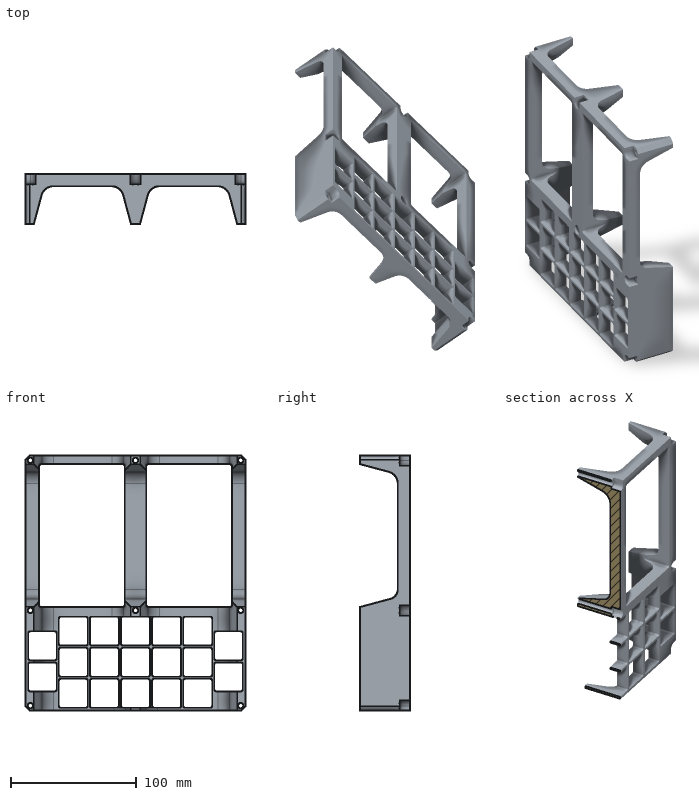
import cadquery as cq
import math

WIDTH = 175.26
DEPTH = 39.88
HEIGHT = 203.2
HALF_WIDTH = WIDTH / 2

PLATE_THICKNESS = 9.906
SIDE_FOOT_WIDTH = 6.731
CENTRE_FOOT_WIDTH = 7.366
TOP_FOOT_HEIGHT = 6.985
LEG_TAPER = 15.0
LEG_FILLET = 9.525
MIDDLE_LEG_FILLET = 7.62
BOTTOM_LEG_SETBACK = 6.8
CORNER_CHAMFER = 3.5

WINDOW_BOTTOM = 82.55
WINDOW_TOP = HEIGHT - TOP_FOOT_HEIGHT
SIDE_RAIL_WIDTH = 10.9
CENTRE_RAIL_WIDTH = 17.272
WINDOW_FILLET = 1.6

CELL = 22.86
WEB = 1.905
PITCH = CELL + WEB
GRID_COLUMNS = 5
GRID_ROWS = 3
OUTER_WALL = 2.286
GRID_BOTTOM = OUTER_WALL
GRID_TOP = GRID_BOTTOM + GRID_ROWS * PITCH - WEB
SIDE_ROWS = 2
SIDE_CELLS_BOTTOM = 15.367
CELL_FILLET = 1.3

HOLE_DIAMETER = 4.12
COUNTERBORE_DIAMETER = 8.26
COUNTERBORE_DEPTH = 8.26
HOLE_INSET = 3.9
MIDDLE_HOLE_Z = 79.8

BAY_INNER = CENTRE_FOOT_WIDTH / 2
BAY_OUTER = HALF_WIDTH - SIDE_FOOT_WIDTH


def box_between(x0, x1, y0, y1, z0, z1):
    return cq.Workplane("XY").box(x1 - x0, y1 - y0, z1 - z0, centered=False).translate((x0, y0, z0))


def rounded_opening(x0, x1, z0, z1, radius):
    """Opening with rounded corners, running through the whole depth."""
    return box_between(x0, x1, -DEPTH, 0, z0, z1).edges("|Y").fillet(radius)


def bay_outline(workplane, start, end, reach):
    """Space between two tapered legs: widest at the feet, narrowest at the plate."""
    taper_run = (reach - PLATE_THICKNESS) * math.tan(math.radians(LEG_TAPER))
    corners = [
        (start, -reach),
        (start + taper_run, -PLATE_THICKNESS),
        (end - taper_run, -PLATE_THICKNESS),
        (end, -reach),
    ]
    return workplane.polyline(corners).close()


def upright_bays(reach):
    """Left and right bays between the side legs and the centre leg, over the full height."""
    bay = bay_outline(cq.Workplane("XY"), BAY_INNER, BAY_OUTER, reach).extrude(HEIGHT)
    bay = bay.edges("|Z and >Y").fillet(LEG_FILLET)
    return bay.union(bay.mirror("YZ"))


def cross_bay():
    """Bay between the top legs and the middle legs, over the full width."""
    side_plane = cq.Plane(origin=(-HALF_WIDTH, 0, 0), xDir=(0, 0, 1), normal=(-1, 0, 0))
    bay = bay_outline(cq.Workplane(side_plane), WINDOW_BOTTOM, WINDOW_TOP, DEPTH).extrude(-WIDTH)
    bay = bay.edges("|X and >Y").edges(">Z").fillet(LEG_FILLET)
    return bay.edges("|X and >Y").edges("<Z").fillet(MIDDLE_LEG_FILLET)


def leg_frame():
    """Plate with full-depth legs, before any opening is cut through it."""
    block = box_between(-HALF_WIDTH, HALF_WIDTH, -DEPTH, 0, 0, HEIGHT)
    block = block.edges("|Y").chamfer(CORNER_CHAMFER)
    return block.cut(upright_bays(DEPTH)).cut(cross_bay())


def centre_leg_clearance():
    """Removes the centre leg in front of the plate, from the top of the grid down."""
    half_span = GRID_COLUMNS * PITCH / 2
    return box_between(-half_span, half_span, -DEPTH, -PLATE_THICKNESS, 0, GRID_TOP)


def bottom_leg():
    """Short, thin centre leg along the bottom edge of the grid."""
    reach = DEPTH - BOTTOM_LEG_SETBACK
    half_span = GRID_COLUMNS * PITCH / 2
    slab = box_between(-half_span, half_span, -reach, -PLATE_THICKNESS / 2, 0, GRID_BOTTOM)
    return slab.cut(upright_bays(reach))


def windows():
    inner = CENTRE_RAIL_WIDTH / 2
    outer = HALF_WIDTH - SIDE_RAIL_WIDTH
    window = rounded_opening(inner, outer, WINDOW_BOTTOM, WINDOW_TOP, WINDOW_FILLET)
    return window.union(window.mirror("YZ"))


def cell_column(left, right, rows, bottom):
    """Column of cells stacked upward from the given bottom."""
    cells = cq.Workplane("XY")
    for row in range(rows):
        z = bottom + row * PITCH
        cells = cells.add(rounded_opening(left, right, z, z + CELL, CELL_FILLET))
    return cells.combine()


def screw_hole(x_side, z_side, z):
    """Counterbored hole whose counterbore opens through the nearby outer edges.

    x_side and z_side are -1, 0 or 1: the outer edge that the hole lies next to, 0 for none.
    """
    x = x_side * (HALF_WIDTH - HOLE_INSET)
    centre = cq.Workplane("XZ", origin=(x, 0, z))
    hole = centre.circle(HOLE_DIAMETER / 2).extrude(DEPTH)
    hole = hole.union(centre.circle(COUNTERBORE_DIAMETER / 2).extrude(COUNTERBORE_DEPTH))
    if x_side:
        slot = centre.center(x_side * HOLE_INSET / 2, 0).rect(HOLE_INSET, COUNTERBORE_DIAMETER)
        hole = hole.union(slot.extrude(COUNTERBORE_DEPTH))
    if z_side:
        slot = centre.center(0, z_side * HOLE_INSET / 2).rect(COUNTERBORE_DIAMETER, HOLE_INSET)
        hole = hole.union(slot.extrude(COUNTERBORE_DEPTH))
    return hole


body = leg_frame().cut(centre_leg_clearance()).union(bottom_leg())
body = body.cut(windows())

grid_edge = (GRID_COLUMNS * PITCH - WEB) / 2
for column in range(GRID_COLUMNS):
    left = column * PITCH - grid_edge
    body = body.cut(cell_column(left, left + CELL, GRID_ROWS, GRID_BOTTOM))

side_column = cell_column(grid_edge + WEB, HALF_WIDTH - OUTER_WALL, SIDE_ROWS, SIDE_CELLS_BOTTOM)
body = body.cut(side_column).cut(side_column.mirror("YZ"))

for x_side in (-1, 0, 1):
    body = body.cut(screw_hole(x_side, 1, HEIGHT - HOLE_INSET))
    body = body.cut(screw_hole(x_side, 0, MIDDLE_HOLE_Z))
for x_side in (-1, 1):
    body = body.cut(screw_hole(x_side, -1, HOLE_INSET))

result = cq.Workplane(body.solids().val())